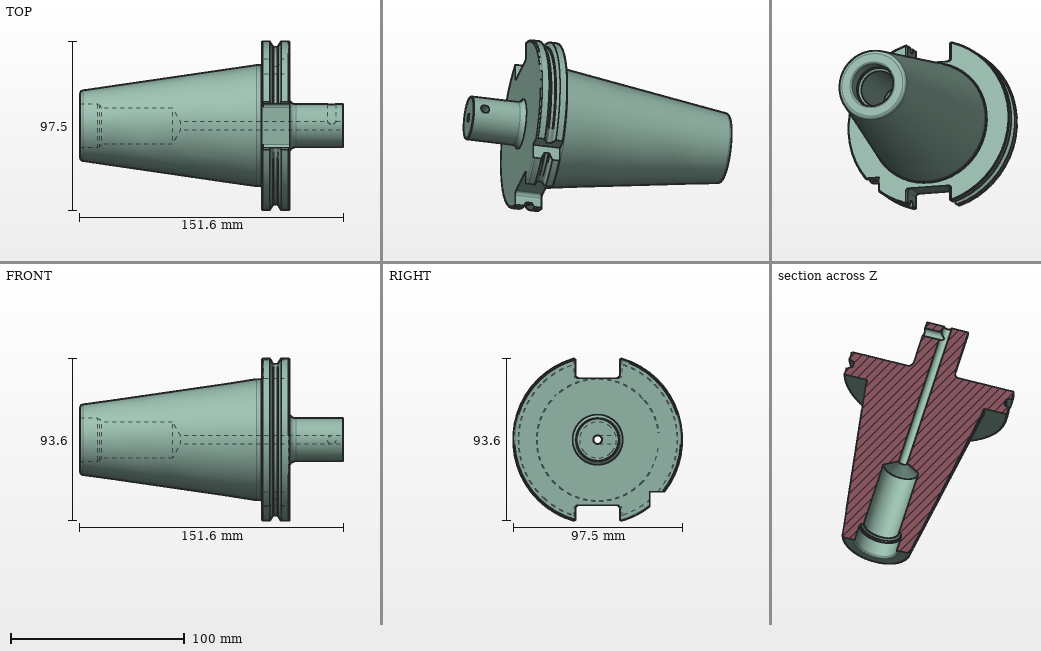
import cadquery as cq
import math


total_length = 151.6
taper_length = 101.5
collar_length = 3.2
flange_width = 15.9
flange_front = taper_length + collar_length
flange_back = flange_front + flange_width

gauge_radius = 69.9 / 2
taper_ratio = 7 / 48
small_end_radius = gauge_radius - taper_length * taper_ratio
small_end_fillet = 2.0
collar_fillet = 0.53

flange_radius = 97.5 / 2
front_edge_chamfer = 0.5
back_edge_fillet = 0.9

groove_offset = 7.7
groove_centre = flange_front + groove_offset
groove_depth = 3.2
groove_floor_width = 2.9
groove_flank_angle = math.radians(30)
groove_mouth_width = groove_floor_width + 2 * groove_depth * math.tan(groove_flank_angle)
groove_corner_fillet = 0.8

spigot_radius = 25.0 / 2
spigot_chamfer = 0.5
neck_radius = 4.1
neck_length = 3.5
neck_rise = neck_radius - math.sqrt(neck_radius**2 - neck_length**2)

slot_half_width = 12.7
slot_corner_radius = 2.0
upper_slot_floor = 35.5
lower_slot_floor = 37.7
slot_chamfer_width = 1.0
slot_chamfer_depth = 0.6
slot_overrun = 1.5
notch_offset = 30.0

bore_radius = 25.0 / 2
bore_depth = 10.0
mouth_fillet = 0.99
recess_radius = 12.1
recess_length = 1.2
core_radius = 10.5
core_depth = 53.0
drill_slope = math.tan(math.radians(30))
through_radius = 2.5

radial_hole_radius = 2.5
radial_hole_x = 144.8


def revolve_about_x(outline):
    return outline.revolve(360, (0, 0, 0), (1, 0, 0))


def shank():
    """Taper and collar."""
    outline = (
        cq.Workplane("XY")
        .lineTo(0, small_end_radius)
        .lineTo(taper_length, gauge_radius)
        .lineTo(flange_front, gauge_radius)
        .lineTo(flange_front, 0)
        .close()
    )
    return revolve_about_x(outline).faces("<X").edges().fillet(small_end_fillet)


def flange():
    """Disc with a chamfered front rim and a rounded back rim."""
    disc = cq.Workplane("YZ", (flange_front, 0, 0)).circle(flange_radius).extrude(flange_width)
    disc = disc.faces("<X").edges().chamfer(front_edge_chamfer)
    return disc.faces(">X").edges().fillet(back_edge_fillet)


def groove():
    """Ring removed from the rim; its two floor corners are rounded."""
    floor_radius = flange_radius - groove_depth
    half_floor = groove_floor_width / 2
    half_mouth = groove_mouth_width / 2
    outline = cq.Workplane("XY").polyline([
        (groove_centre - half_mouth, flange_radius),
        (groove_centre - half_floor, floor_radius),
        (groove_centre + half_floor, floor_radius),
        (groove_centre + half_mouth, flange_radius),
    ]).close()
    inner_edges = cq.selectors.RadiusNthSelector(0)
    return revolve_about_x(outline).edges(inner_edges).fillet(groove_corner_fillet)


def spigot():
    """Spigot with its concave neck."""
    neck_end = flange_back + neck_length
    half_angle = math.asin(neck_length / neck_radius) / 2
    arc_middle = (
        neck_end - neck_radius * math.sin(half_angle),
        spigot_radius + neck_radius * (1 - math.cos(half_angle)),
    )
    outline = (
        cq.Workplane("XY")
        .moveTo(flange_back, 0)
        .lineTo(flange_back, spigot_radius + neck_rise)
        .threePointArc(arc_middle, (neck_end, spigot_radius))
        .lineTo(total_length, spigot_radius)
        .lineTo(total_length, 0)
        .close()
    )
    return revolve_about_x(outline).faces(">X").edges().chamfer(spigot_chamfer)


def slot_outline(plane, half_width, floor):
    """Slot section, open outward, with rounded floor corners and flared top edges."""
    rim_height = math.sqrt(flange_radius**2 - (half_width + slot_chamfer_width)**2)
    flare_start = rim_height - slot_chamfer_depth
    top = flange_radius + slot_overrun
    flared = half_width + slot_chamfer_width
    corner = slot_corner_radius
    inset = corner * (1 - math.sqrt(0.5))
    return (
        plane
        .moveTo(-half_width + corner, floor)
        .lineTo(half_width - corner, floor)
        .threePointArc((half_width - inset, floor + inset), (half_width, floor + corner))
        .lineTo(half_width, flare_start)
        .lineTo(flared, rim_height)
        .lineTo(flared, top)
        .lineTo(-flared, top)
        .lineTo(-flared, rim_height)
        .lineTo(-half_width, flare_start)
        .lineTo(-half_width, floor + corner)
        .threePointArc((-half_width + inset, floor + inset), (-half_width + corner, floor))
        .close()
    )


def driving_slot(floor):
    """Slot through the +Z side of the flange, widened at the front face."""
    start = cq.Workplane("YZ", (flange_front, 0, 0))
    slot = slot_outline(start, slot_half_width, floor).extrude(flange_width)
    wide = slot_outline(start, slot_half_width + slot_chamfer_width, floor)
    mouth = slot_outline(wide.workplane(offset=slot_chamfer_depth), slot_half_width, floor)
    return slot.union(mouth.loft(ruled=True))


def orientation_notch():
    """Square corner cut through the flange at +Y, -Z."""
    return (
        cq.Workplane("YZ", (flange_front, notch_offset, -notch_offset))
        .rect(flange_radius, -flange_radius, centered=False)
        .extrude(flange_width)
    )


def bore():
    """Counterbore, shallow recess, countersunk core hole with drill point, and through hole."""
    recess_end = bore_depth + recess_length
    countersink_end = recess_end + (recess_radius - core_radius) * drill_slope
    point_end = core_depth + (core_radius - through_radius) * drill_slope
    mouth_inset = mouth_fillet * (1 - math.sqrt(0.5))
    outline = (
        cq.Workplane("XY")
        .lineTo(0, bore_radius + mouth_fillet)
        .threePointArc((mouth_inset, bore_radius + mouth_inset), (mouth_fillet, bore_radius))
        .lineTo(bore_depth, bore_radius)
        .lineTo(bore_depth, recess_radius)
        .lineTo(recess_end, recess_radius)
        .lineTo(countersink_end, core_radius)
        .lineTo(core_depth, core_radius)
        .lineTo(point_end, through_radius)
        .lineTo(total_length, through_radius)
        .lineTo(total_length, 0)
        .close()
    )
    return revolve_about_x(outline)


def radial_hole():
    """Hole from the +Y side of the spigot to the axial through hole."""
    return (
        cq.Workplane("XZ", (radial_hole_x, 0, 0))
        .circle(radial_hole_radius)
        .extrude(-spigot_radius)
    )


def collar_corner(body):
    """Rounds the inside corner between collar and flange."""
    reach = gauge_radius + collar_fillet
    corner = cq.selectors.BoxSelector(
        (flange_front - collar_fillet, -reach, -reach),
        (flange_front + collar_fillet, reach, reach),
        boundingbox=True,
    )
    return body.edges(corner).fillet(collar_fillet)


body = collar_corner(shank().union(flange())).union(spigot()).cut(groove())
body = body.cut(driving_slot(upper_slot_floor))
body = body.cut(driving_slot(lower_slot_floor).rotate((0, 0, 0), (1, 0, 0), 180))
body = body.cut(orientation_notch())
result = body.cut(bore()).cut(radial_hole())